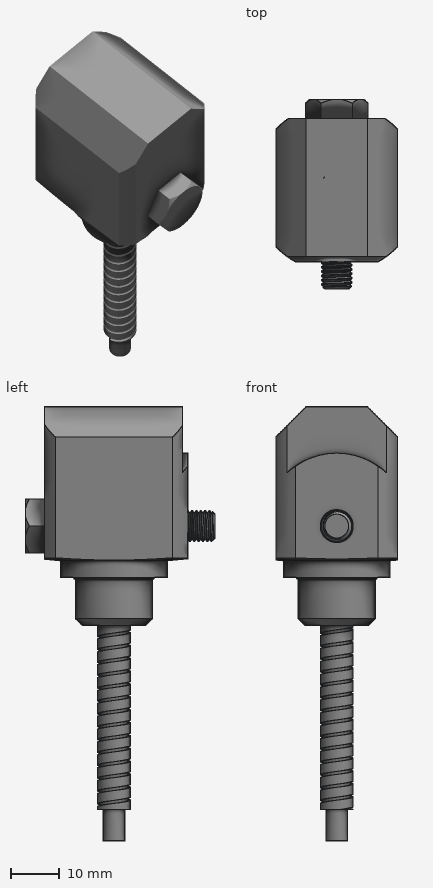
import cadquery as cq
import math

total_height = 89.5
cable_bottom = 6.4
boss_bottom = 44.4
collar_bottom = 54.3
body_bottom = 57.7

tip_diameter = 4.5
cable_diameter = 6.8
cable_groove_turns = 14.3
cable_groove_width = 0.6
cable_groove_depth = 0.45
cable_groove_top_offset = 0.5
boss_diameter = 15.9
boss_chamfer = 1.4
boss_root_chamfer = 0.5
collar_diameter = 22.0

body_diameter = 34.9
body_width = 25.1
back_distance = 14.3
front_distance = 14.1
pad_distance = 15.2
pad_radius = 15.0
top_chamfer = 6.3
underside_taper = 5.5

bolt_height = 64.9
bolt_diameter = 6.35
bolt_hole_diameter = 6.8
thread_pitch = 0.9
thread_depth = 0.45
bolt_end_chamfer = 0.7
bolt_end_distance = 20.85
head_height = 3.9
head_across_flats = 11.2
head_chamfer_diameter = 11.3
head_chamfer_angle = 45


def cylinder(diameter, bottom, top):
    return cq.Workplane("XY").workplane(offset=bottom).circle(diameter / 2).extrude(top - bottom)


def helical_cutter(section, pitch, height, radius, start_angle):
    """Sweep a closed section, drawn as (radius, z) points, up a right-handed helix on the Z axis."""
    helix = cq.Wire.makeHelix(pitch, height, radius)
    cutter = cq.Workplane("XZ").polyline(section).close().sweep(cq.Workplane(helix), isFrenet=True)
    return cutter.rotate((0, 0, 0), (0, 0, 1), start_angle)


def make_body():
    """Round bar with a slightly conical underside, cut to flats and chamfered along its top."""
    outer = body_diameter / 2
    flat = collar_diameter / 2
    rise = (outer - flat) * math.tan(math.radians(underside_taper))
    bar = (
        cq.Workplane("XZ")
        .polyline([
            (0, body_bottom),
            (flat, body_bottom),
            (outer, body_bottom + rise),
            (outer, total_height),
            (0, total_height),
        ])
        .close()
        .revolve(360, (0, 0, 0), (0, 1, 0))
    )
    half = body_width / 2
    envelope = (
        cq.Workplane("XZ", origin=(0, back_distance, 0))
        .polyline([
            (-half, body_bottom),
            (half, body_bottom),
            (half, total_height - top_chamfer),
            (half - top_chamfer, total_height),
            (top_chamfer - half, total_height),
            (-half, total_height - top_chamfer),
        ])
        .close()
        .extrude(back_distance + pad_distance)
    )
    return bar.intersect(envelope).cut(make_pad_relief())


def make_pad_relief():
    """Layer removed from the front above and beside the round-topped pad."""
    layer = (
        cq.Workplane("XZ", origin=(0, -front_distance, bolt_height))
        .rect(2 * body_width, 2 * (total_height - bolt_height))
        .circle(pad_radius)
        .extrude(pad_distance)
    )
    above_bolt = cq.Workplane("XY", origin=(0, 0, bolt_height)).box(
        2 * body_width, 4 * pad_distance, total_height, centered=(True, True, False)
    )
    return layer.intersect(above_bolt)


def make_gland():
    """Collar and boss under the body."""
    collar = cylinder(collar_diameter, collar_bottom, body_bottom)
    boss = cylinder(boss_diameter, boss_bottom, collar_bottom).faces("<Z").chamfer(boss_chamfer)
    root = (
        cylinder(boss_diameter + 2 * boss_root_chamfer, collar_bottom - boss_root_chamfer, collar_bottom)
        .faces("<Z")
        .chamfer(boss_root_chamfer * 0.999)
    )
    return collar.union(boss).union(root)


def make_cable():
    """Cable with a helical groove around it, and its bare tip."""
    radius = cable_diameter / 2
    length = boss_bottom - cable_bottom
    pitch = length / cable_groove_turns
    whole_turns = math.ceil(cable_groove_turns)
    groove_start = boss_bottom - cable_groove_top_offset - whole_turns * pitch
    inner = radius - cable_groove_depth
    outer = radius + cable_groove_depth
    half = cable_groove_width / 2
    cutter = helical_cutter(
        [(inner, -half), (outer, -half), (outer, half), (inner, half)],
        pitch, (whole_turns + 1) * pitch, radius, 0,
    ).translate((0, 0, groove_start))
    blank = cylinder(cable_diameter, 0, total_height).cut(cutter)
    cable = blank.intersect(cylinder(2 * cable_diameter, cable_bottom, boss_bottom))
    return cable.union(cylinder(tip_diameter, 0, cable_bottom))


def make_bolt():
    """Hexagon bolt, built along Z with its head at the bottom and then laid along -Y."""
    radius = bolt_diameter / 2
    shank = cylinder(bolt_diameter, -back_distance, bolt_end_distance).faces(">Z").chamfer(bolt_end_chamfer)
    thread_start = pad_distance - thread_pitch / 2
    root = radius - thread_depth
    outer = radius + 0.1
    half = thread_pitch / 2 * 0.98
    cutter = helical_cutter(
        [(root, -0.045), (outer, -half), (outer, half), (root, 0.045)],
        thread_pitch, bolt_end_distance + thread_pitch - thread_start, radius, 90,
    ).translate((0, 0, thread_start))
    shank = shank.cut(cutter)
    head_bottom = -back_distance - head_height
    head = (
        cq.Workplane("XY").workplane(offset=head_bottom)
        .polygon(6, head_across_flats, circumscribed=True).extrude(head_height)
        .rotate((0, 0, 0), (0, 0, 1), 30)
    )
    flat = head_chamfer_diameter / 2
    spread = head_height / math.tan(math.radians(head_chamfer_angle))
    cone = (
        cq.Workplane("XY").workplane(offset=head_bottom).circle(flat)
        .workplane(offset=head_height).circle(flat + spread).loft()
    )
    bolt = shank.union(head.intersect(cone))
    return bolt.rotate((0, 0, 0), (1, 0, 0), 90).translate((0, 0, bolt_height))


bolt_hole = (
    cq.Workplane("XZ", origin=(0, back_distance, bolt_height))
    .circle(bolt_hole_diameter / 2).extrude(back_distance + pad_distance)
)
housing = make_body().union(make_gland()).union(make_cable()).cut(bolt_hole)
bolt = make_bolt()
result = cq.Compound.makeCompound([housing.val(), bolt.val()])